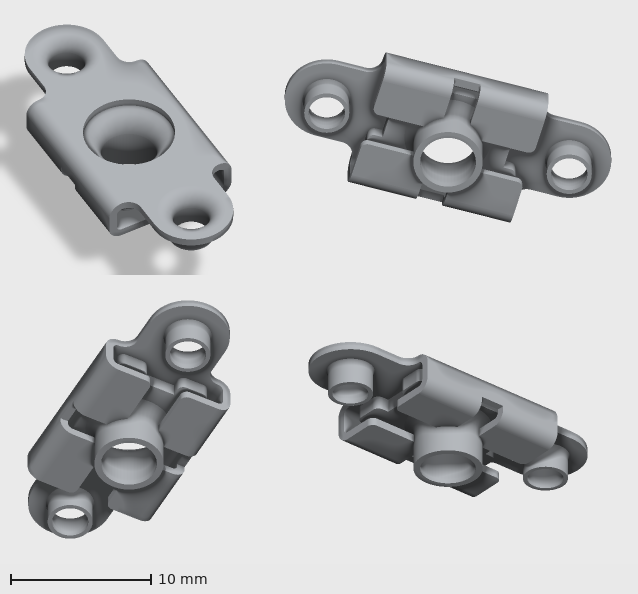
import cadquery as cq
import math

length = 24.0
ear_width = 6.0
ear_radius = ear_width / 2
ear_center_x = length / 2 - ear_radius
body_length = 12.0
body_width = 10.0
bracket_height = 3.2
sheet = 0.6
bend_radius = 1.0
ear_root_radius = 0.98
lip_gap = 2.5
corner_radius = 0.5
notch_width = 1.97
notch_depth = 1.97
lip_top = sheet - bracket_height

collar_hole_radius = 1.3
collar_mouth_radius = 1.1
collar_outer_radius = 1.6
collar_flare_radius = 0.6
collar_flare_depth = 0.95
collar_height = 2.5

plate_length = 11.0
plate_width = 7.2
plate_thickness = 1.0
plate_slot_depth = 1.0
bore_radius = 2.0
bore_mouth_radius = 1.58
barrel_radius = 2.47
barrel_flare_radius = 1.0
barrel_flare_depth = 2.55
part_height = 5.2
top_hole_radius = 3.3
plate_bottom = sheet + plate_thickness


def box(size_x, size_y, z_low, z_high):
    """Block centred on the Z axis between two heights."""
    return (
        cq.Workplane("XY")
        .workplane(offset=z_low)
        .rect(size_x, size_y)
        .extrude(z_high - z_low)
    )


def cylinder(radius, z_low, z_high):
    """Cylinder on the Z axis between two heights."""
    return cq.Workplane("XY").workplane(offset=z_low).circle(radius).extrude(z_high - z_low)


def flared_boss(radius, flare_radius, flare_depth, seat_depth, bottom_depth):
    """Round boss whose side curves outward up to the underside that it hangs from."""

    def flare_point(angle):
        return (
            radius + flare_radius * (1 - math.cos(angle)),
            -flare_depth + flare_radius * math.sin(angle),
        )

    seat_angle = math.asin((flare_depth - seat_depth) / flare_radius)
    seat_radius = flare_point(seat_angle)[0]
    return (
        cq.Workplane("XZ")
        .moveTo(0, -bottom_depth)
        .lineTo(radius, -bottom_depth)
        .lineTo(radius, -flare_depth)
        .threePointArc(flare_point(seat_angle / 2), (seat_radius, -seat_depth))
        .lineTo(0, -seat_depth)
        .close()
        .revolve(360, (0, 0), (0, 1))
    )


def rounded_mouth_bore(radius, mouth_radius, top_depth, bottom_depth):
    """Cutter for a through bore that widens upward along a quarter-round mouth."""
    mouth_mid = mouth_radius * math.sqrt(0.5)
    wide_radius = radius + mouth_radius
    mouth_depth = top_depth + mouth_radius
    return (
        cq.Workplane("XZ")
        .moveTo(0, -bottom_depth)
        .lineTo(radius, -bottom_depth)
        .lineTo(radius, -mouth_depth)
        .threePointArc(
            (wide_radius - mouth_mid, -mouth_depth + mouth_mid),
            (wide_radius, -top_depth),
        )
        .lineTo(0, -top_depth)
        .close()
        .revolve(360, (0, 0), (0, 1))
    )


def make_folded_body():
    """C-shaped channel along X, with its lips cut for the barrel and the side notches."""
    channel = box(body_length, body_width, -bracket_height, 0).edges("|X").fillet(bend_radius)
    cavity = box(body_length, body_width - 2 * sheet, lip_top, -sheet)
    channel = channel.cut(cavity.edges("|X").fillet(bend_radius - sheet))

    gap = box(body_length, lip_gap, -bracket_height, lip_top)
    channel = channel.cut(gap)
    lip_corners = cq.selectors.BoxSelector(
        (-body_length, -lip_gap, -bracket_height),
        (body_length, lip_gap, lip_top),
    )
    channel = channel.edges("|Z").edges(lip_corners).fillet(corner_radius)

    side_notch = box(notch_width, body_width, -bracket_height, -notch_depth)
    barrel_hole = cylinder(barrel_radius, -bracket_height, lip_top)
    return channel.cut(side_notch).cut(barrel_hole)


def make_ear_strip():
    """Round-ended strip through both ears, with concave roots at the folded body."""
    strip = cq.Workplane("XY").slot2D(length, ear_width).extrude(-sheet)
    middle = box(body_length, body_width - 2 * bend_radius, -sheet, 0)
    reach_x = (body_length + ear_root_radius) / 2
    reach_y = (ear_width + ear_root_radius) / 2
    roots = cq.selectors.BoxSelector((-reach_x, -reach_y, -sheet), (reach_x, reach_y, 0))
    return strip.union(middle).edges("|Z").edges(roots).fillet(ear_root_radius)


def make_bracket():
    bracket = make_folded_body().union(make_ear_strip())
    bracket = bracket.cut(cylinder(top_hole_radius, -sheet, 0))
    collar = flared_boss(
        collar_outer_radius, collar_flare_radius, collar_flare_depth, sheet, collar_height
    )
    collar_bore = rounded_mouth_bore(collar_hole_radius, collar_mouth_radius, 0, collar_height)
    for side in (-1, 1):
        place = (side * ear_center_x, 0, 0)
        bracket = bracket.union(collar.translate(place))
        bracket = bracket.cut(collar_bore.translate(place))
    return bracket


def make_nut():
    plate = box(plate_length, plate_width, -plate_bottom, -sheet)
    slot = box(2 * plate_slot_depth, lip_gap, -plate_bottom, -sheet)
    for side in (-1, 1):
        plate = plate.cut(slot.translate((side * plate_length / 2, 0, 0)))
    for end_face in ("<X", ">X"):
        plate = plate.faces(end_face).edges("|Z").fillet(corner_radius)

    barrel = flared_boss(
        barrel_radius, barrel_flare_radius, barrel_flare_depth, plate_bottom, part_height
    )
    bore = rounded_mouth_bore(bore_radius, bore_mouth_radius, sheet, part_height)
    return plate.union(barrel).cut(bore)


bracket = make_bracket()
nut = make_nut()

result = cq.Compound.makeCompound([bracket.solids().val(), nut.solids().val()])